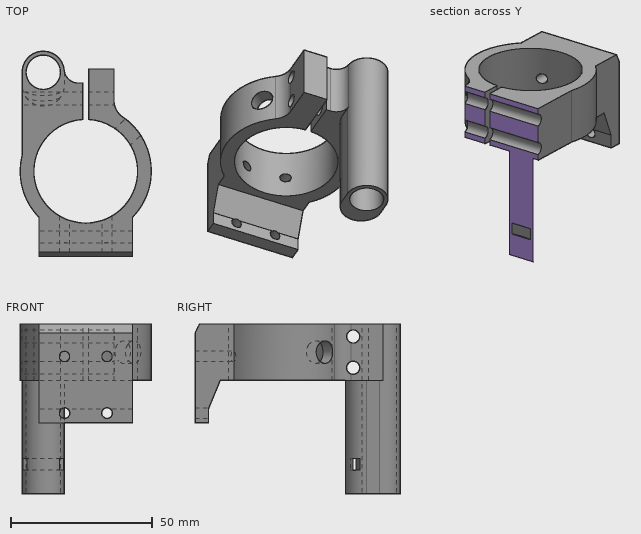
import cadquery as cq
import math

ring_height = 20.0
ring_radius = 23.2
bore_radius = 18.3
split_width = 2.0
radial_hole_diameter = 8.0
radial_hole_angle = 43.0

ear_end_y = 36.2
ear_outer_x = 10.0
ear_blend_radius = 7.0
shoulder_y = 31.2
clamp_hole_diameter = 4.6
clamp_hole_y = 25.75
clamp_hole_heights = (4.5, 15.5)

socket_x = -15.0
socket_y = 34.95
socket_radius = 7.5
socket_bore_radius = 6.0
socket_length = 60.0
socket_bottom = ring_height - socket_length
socket_straight = 4.5
socket_blend_radius = 5.0

channel_center_y = 44.0
channel_inner_radius = 17.3
channel_thickness = 1.9
channel_height = 4.05
channel_mid_height = -29.6

plate_width = 33.05
plate_face_y = -30.1
plate_length = 35.0
plate_thickness = 4.8
plate_gusset_depth = 8.9
plate_gusset_height = 10.0
chamfer_depth = 1.6
chamfer_height = 3.2
plate_hole_diameter = 3.7
plate_hole_spacing_x = 15.0
plate_hole_spacing_z = 20.0
plate_hole_top_offset = 11.5


def z_cylinder(x, y, radius, bottom, height):
    return cq.Workplane("XY", origin=(x, y, bottom)).circle(radius).extrude(height)


def x_hole(y, z, diameter):
    """Cutter along X, long enough to cross the whole clamp."""
    half = 2 * ring_radius
    return cq.Workplane("YZ", origin=(-half, y, z)).circle(diameter / 2).extrude(2 * half)


def socket_arm():
    """Solid web joining the socket to the ring, with its concave blend."""
    left_x = socket_x - socket_radius
    blend_y = shoulder_y + socket_blend_radius
    center_distance = socket_radius + socket_blend_radius
    rise = blend_y - socket_y
    blend_x = socket_x + math.sqrt(center_distance**2 - rise**2)
    share = socket_radius / center_distance
    tangent = (socket_x + share * (blend_x - socket_x), socket_y + share * rise)
    diagonal = socket_blend_radius / math.sqrt(2)
    blend_mid = (blend_x - diagonal, blend_y - diagonal)
    return (
        cq.Workplane("XY")
        .moveTo(left_x, 0)
        .lineTo(left_x, socket_y)
        .lineTo(socket_x, socket_y)
        .lineTo(*tangent)
        .threePointArc(blend_mid, (blend_x, shoulder_y))
        .lineTo(0, shoulder_y)
        .lineTo(0, 0)
        .close()
        .extrude(ring_height)
    )


def free_ear():
    """Straight ear blended tangentially into the outside of the ring."""
    blend_x = ear_outer_x + ear_blend_radius
    center_distance = ring_radius + ear_blend_radius
    blend_y = math.sqrt(center_distance**2 - blend_x**2)
    share = ring_radius / center_distance
    tangent = (share * blend_x, share * blend_y)
    start_angle = math.pi
    end_angle = math.atan2(-blend_y, -blend_x) + 2 * math.pi
    mid_angle = (start_angle + end_angle) / 2
    blend_mid = (
        blend_x + ear_blend_radius * math.cos(mid_angle),
        blend_y + ear_blend_radius * math.sin(mid_angle),
    )
    return (
        cq.Workplane("XY")
        .lineTo(0, ear_end_y)
        .lineTo(ear_outer_x, ear_end_y)
        .lineTo(ear_outer_x, blend_y)
        .threePointArc(blend_mid, tangent)
        .close()
        .extrude(ring_height)
    )


def socket_column():
    below_clamp = -socket_bottom
    column = z_cylinder(socket_x, socket_y, socket_radius, socket_bottom, socket_length)
    inner_y = socket_y - socket_straight
    column = column.union(z_cylinder(socket_x, inner_y, socket_radius, socket_bottom, below_clamp))
    middle = (
        cq.Workplane("XY", origin=(socket_x, (socket_y + inner_y) / 2, socket_bottom))
        .rect(2 * socket_radius, socket_straight)
        .extrude(below_clamp)
    )
    return column.union(middle)


def strap_channel():
    bottom = channel_mid_height - channel_height / 2
    return (
        cq.Workplane("XY", origin=(socket_x, channel_center_y, bottom))
        .circle(channel_inner_radius + channel_thickness)
        .circle(channel_inner_radius)
        .extrude(channel_height)
    )


def mounting_plate():
    bottom = ring_height - plate_length
    profile = [
        (0, 0),
        (0, ring_height),
        (plate_face_y + chamfer_depth, ring_height),
        (plate_face_y, ring_height - chamfer_height),
        (plate_face_y, bottom),
        (plate_face_y + plate_thickness, bottom),
        (plate_face_y + plate_thickness, -plate_gusset_height),
        (plate_face_y + plate_gusset_depth, 0),
    ]
    return cq.Workplane("YZ").polyline(profile).close().extrude(plate_width / 2, both=True)


def plate_holes():
    """Four holes along +Y from the plate face, the upper pair opening into the bore."""
    mid_z = ring_height - plate_hole_top_offset - plate_hole_spacing_z / 2
    return (
        cq.Workplane("XZ", origin=(0, plate_face_y, mid_z))
        .rarray(plate_hole_spacing_x, plate_hole_spacing_z, 2, 2)
        .circle(plate_hole_diameter / 2)
        .extrude(-abs(plate_face_y))
    )


def radial_hole():
    angle = math.radians(radial_hole_angle)
    plane = cq.Plane(
        origin=(0, 0, ring_height / 2),
        xDir=(0, 0, 1),
        normal=(math.cos(angle), math.sin(angle), 0),
    )
    return cq.Workplane(plane).circle(radial_hole_diameter / 2).extrude(2 * ring_radius)


body = z_cylinder(0, 0, ring_radius, 0, ring_height)
for section in (socket_arm(), free_ear(), socket_column(), mounting_plate()):
    body = body.union(section)

split = cq.Workplane("XY").center(0, ear_end_y / 2).rect(split_width, ear_end_y).extrude(ring_height)
body = body.cut(z_cylinder(0, 0, bore_radius, 0, ring_height)).cut(split)
body = body.cut(z_cylinder(socket_x, socket_y, socket_bore_radius, socket_bottom, socket_length))
for height in clamp_hole_heights:
    body = body.cut(x_hole(clamp_hole_y, height, clamp_hole_diameter))
body = body.cut(plate_holes()).cut(radial_hole()).cut(strap_channel())

result = body